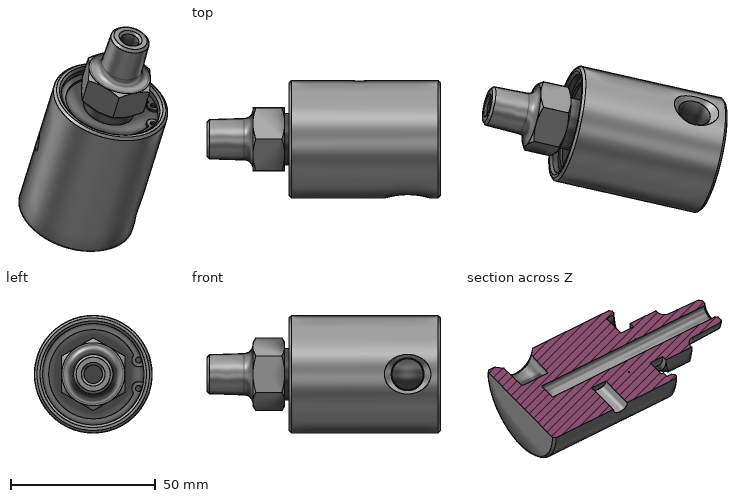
import cadquery as cq
import math


total_length = 80.7
housing_diameter = 40.7
housing_start = 28.3
housing_chamfer = 0.9

recess_diameter = 35.0
recess_chamfer = 0.9
ring_setback = 2.8
ring_thickness = 0.9
ring_inner_diameter = 30.8
lug_diameter = 4.7
lug_hole_diameter = 2.0
lug_bridge_width = 4.35
lug_offset_y = 15.7
lug_offset_z = 4.9

tip_diameter = 13.6
tip_chamfer = 0.9
thread_length = 12.8
pipe_taper = 1 / 16
hex_start = 15.9
hex_end = 26.9
hex_flats = 21.8
hex_chamfer_angle = 30
neck_diameter = 17.85
bore_diameter = 6.4
bore_chamfer = 0.9
inner_shaft_diameter = 14.85

port_x = 69.35
port_inner_diameter = 10.7
port_mouth_diameter = 16.1
vent_x = 52.7
vent_diameter = 5.7

housing_radius = housing_diameter / 2
recess_radius = recess_diameter / 2
ring_start = housing_start + ring_setback
recess_floor = ring_start + ring_thickness
thread_end_radius = (tip_diameter + thread_length * pipe_taper) / 2


def revolve_about_x(points):
    """Solid of revolution about X from (x, radius) points."""
    return cq.Workplane("XY").polyline(points).close().revolve(360, (0, 0), (1, 0))


def cylinder_along_x(radius, start, end):
    return cq.Workplane("YZ", origin=(start, 0, 0)).circle(radius).extrude(end - start)


def make_housing():
    body = cylinder_along_x(housing_radius, housing_start, total_length)
    body = body.faces("<X or >X").chamfer(housing_chamfer)
    recess = revolve_about_x([
        (housing_start, 0),
        (housing_start, recess_radius + recess_chamfer),
        (housing_start + recess_chamfer, recess_radius),
        (recess_floor, recess_radius),
        (recess_floor, 0),
    ])
    return body.cut(recess)


def make_retaining_ring():
    """Open ring whose two lugs flank a gap on the -Y side."""
    ring = cylinder_along_x(recess_radius, ring_start, recess_floor)
    ring = ring.cut(cylinder_along_x(ring_inner_diameter / 2, ring_start, recess_floor))
    gap = cq.Workplane("XY").box(ring_thickness, recess_radius, 2 * lug_offset_z)
    ring = ring.cut(gap.translate((ring_start + ring_thickness / 2, -recess_radius, 0)))

    lug_places = [(-lug_offset_y, -lug_offset_z), (-lug_offset_y, lug_offset_z)]
    lug_reach = recess_radius - lug_offset_y
    plane = cq.Workplane("YZ", origin=(ring_start, 0, 0))
    lugs = plane.pushPoints(lug_places).circle(lug_diameter / 2).extrude(ring_thickness)
    bridges = (
        plane.pushPoints([(y - lug_reach / 2, z) for y, z in lug_places])
        .rect(lug_reach, lug_bridge_width)
        .extrude(ring_thickness)
    )
    lugs = lugs.union(bridges).intersect(cylinder_along_x(recess_radius, ring_start, recess_floor))
    holes = plane.pushPoints(lug_places).circle(lug_hole_diameter / 2).extrude(ring_thickness)
    return ring.union(lugs).cut(holes)


def make_threaded_end():
    """Tapered end that flares in a quarter round up to the hexagon."""
    flare_radius = hex_start - thread_length
    flare_end_radius = thread_end_radius + flare_radius
    flare_diagonal = flare_radius * math.sqrt(0.5)
    flare_middle = (thread_length + flare_diagonal, flare_end_radius - flare_diagonal)
    tip_radius = tip_diameter / 2
    return (
        cq.Workplane("XY")
        .moveTo(0, 0)
        .lineTo(0, tip_radius - tip_chamfer)
        .lineTo(tip_chamfer, tip_radius + tip_chamfer * pipe_taper / 2)
        .lineTo(thread_length, thread_end_radius)
        .threePointArc(flare_middle, (hex_start, flare_end_radius))
        .lineTo(hex_start, 0)
        .close()
        .revolve(360, (0, 0), (1, 0))
    )


def make_hexagon():
    """Hexagon with corners on +Z and -Z, its ends turned to a cone."""
    corner_radius = hex_flats / math.sqrt(3)
    flat_radius = hex_flats / 2
    cone_length = (corner_radius - flat_radius) * math.tan(math.radians(hex_chamfer_angle))
    prism = (
        cq.Workplane("YZ", origin=(hex_start, 0, 0))
        .polygon(6, 2 * corner_radius)
        .extrude(hex_end - hex_start)
        .rotate((0, 0, 0), (1, 0, 0), 90)
    )
    envelope = revolve_about_x([
        (hex_start, 0),
        (hex_start, flat_radius),
        (hex_start + cone_length, corner_radius),
        (hex_end - cone_length, corner_radius),
        (hex_end, flat_radius),
        (hex_end, 0),
    ])
    return prism.intersect(envelope)


def make_bore():
    """Blind bore from the tip to the port axis, with a chamfered mouth."""
    bore_radius = bore_diameter / 2
    return revolve_about_x([
        (0, 0),
        (0, bore_radius + bore_chamfer),
        (bore_chamfer, bore_radius),
        (port_x, bore_radius),
        (port_x, 0),
    ])


def make_port():
    """Tapered port on the -Y side with a 45 degree mouth, ending on the inner shaft."""
    inner_radius = port_inner_diameter / 2
    mouth_radius = port_mouth_diameter / 2
    inner_shaft_radius = inner_shaft_diameter / 2
    wall_slope = pipe_taper / 2
    cone_rise = mouth_radius - inner_radius
    cone_start = (housing_radius - cone_rise - wall_slope * inner_shaft_radius) / (1 - wall_slope)
    cone_start_radius = inner_radius + wall_slope * (cone_start - inner_shaft_radius)
    port = (
        cq.Workplane("XY")
        .polyline([
            (port_x, 0),
            (port_x + inner_radius, 0),
            (port_x + inner_radius, -inner_shaft_radius),
            (port_x + cone_start_radius, -cone_start),
            (port_x + mouth_radius, -housing_radius),
            (port_x, -housing_radius),
        ])
        .close()
        .revolve(360, (port_x, 0), (port_x, 1))
    )
    return port.cut(cylinder_along_x(inner_shaft_radius, housing_start, total_length))


def make_vent():
    """Plain hole on the +Y side, ending on the inner shaft."""
    vent = cq.Workplane("XZ", origin=(vent_x, 0, 0)).circle(vent_diameter / 2).extrude(-housing_radius)
    return vent.cut(cylinder_along_x(inner_shaft_diameter / 2, housing_start, total_length))


neck = cylinder_along_x(neck_diameter / 2, hex_end, recess_floor)

result = (
    make_housing()
    .union(make_retaining_ring())
    .union(neck)
    .union(make_hexagon())
    .union(make_threaded_end())
    .cut(make_bore())
    .cut(make_port())
    .cut(make_vent())
)